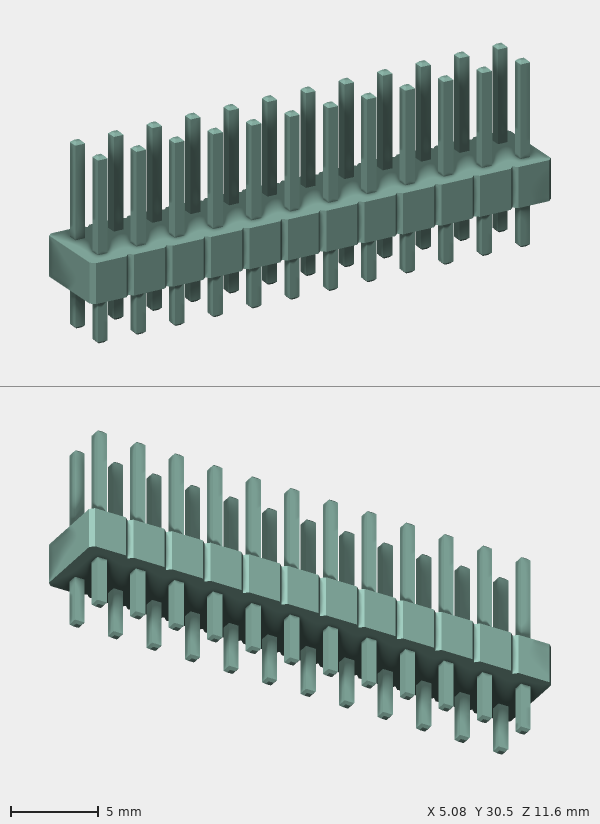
import cadquery as cq

length = 30.48
rows = 12
columns = 2
pin_side = 0.65
pin_length = 11.55
above_to_below = 2
corner_chamfer = 0.253
tip_chamfer = 0.15

pitch = length / rows
width = columns * pitch
housing_height = pitch
pin_below = (pin_length - housing_height) / (1 + above_to_below)


def make_housing():
    """Row of bevelled blocks, leaving V notches between neighbours on both long sides."""
    return (
        cq.Workplane("XY")
        .rarray(width, pitch, 1, rows)
        .eachpoint(make_block().val(), combine="a")
    )


def make_block():
    """One block holding a pair of pins, with its four vertical corners bevelled."""
    return (
        cq.Workplane("XY")
        .box(width, pitch, housing_height, centered=(True, True, False))
        .edges("|Z")
        .chamfer(corner_chamfer)
    )


def make_pin():
    """Square pin running through the housing, bevelled at both ends."""
    return (
        cq.Workplane("XY")
        .workplane(offset=-pin_below)
        .box(pin_side, pin_side, pin_length, centered=(True, True, False))
        .faces("<Z or >Z")
        .chamfer(tip_chamfer)
    )


def make_pins():
    """Grid of pins, one column on each side of the centre line."""
    return (
        cq.Workplane("XY")
        .rarray(pitch, pitch, columns, rows)
        .eachpoint(make_pin().val(), combine=False)
    )


result = make_housing().union(make_pins()).clean()